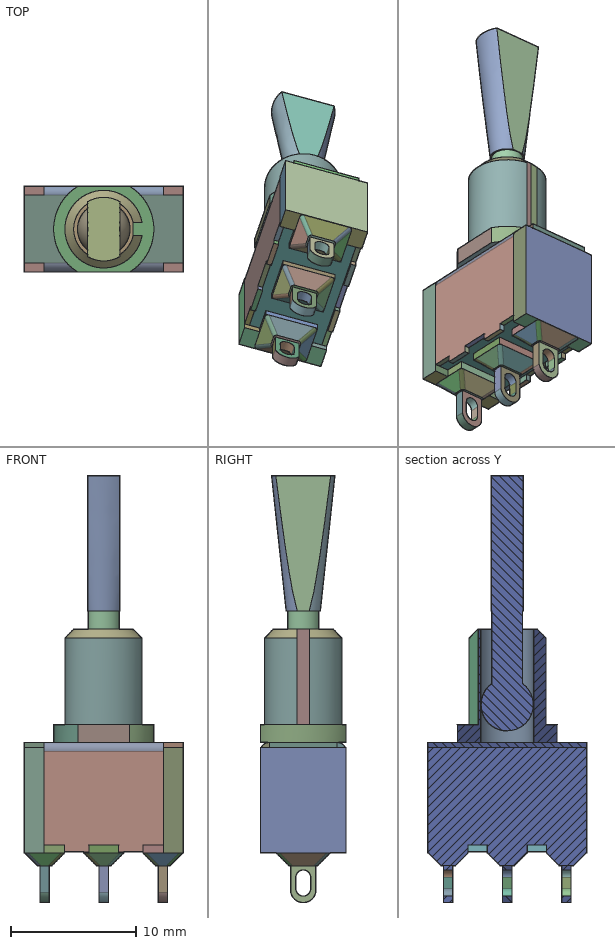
import cadquery as cq


LENGTH = 12.7
WIDTH = 6.86
SHEET = 0.41
BEND_RADIUS = 0.72
STRAP_LENGTH = 9.55
HOUSING_BOTTOM = -8.83
FRAME_BOTTOM = -8.75
NOTCH_TOP = -8.21
CENTRE_NOTCH = 2.36
END_NOTCH = 1.63

PITCH = 4.72
TERMINAL_XS = [-PITCH, 0, PITCH]
MOUND_X = 3.2
MOUND_Y = 4.33
MOUND_HEIGHT = 1.03
MOUND_TAPER = 45
MOUND_CORNER_RADIUS = 0.4
TERMINAL_THICKNESS = 0.76
TERMINAL_WIDTH = 2.0
TERMINAL_SHOULDER = -12.0
TERMINAL_TIP = -12.8
EYE_WIDTH = 1.17
EYE_LENGTH = 2.07
EYE_Z = -11.23

BUSHING_RADIUS = 6.2 / 2
BUSHING_TOP = 9.04
BUSHING_TOP_RADIUS = 2.4
CHAMFER_HEIGHT = 0.72
BORE_RADIUS = 4.2 / 2
COLLAR_RADIUS = 4.0
COLLAR_HEIGHT = 1.42
KEYWAY_WIDTH = 1.03
KEYWAY_FLOOR = 2.33

BALL_RADIUS = BORE_RADIUS
BALL_Z = 3.0
NECK_RADIUS = 1.25
PADDLE_BASE = 10.47
PADDLE_BASE_RADIUS = 1.37
PADDLE_TOP_RADIUS = 2.54
PADDLE_THICKNESS = 2.57
TOTAL_HEIGHT = 34.09
LEVER_TOP = TERMINAL_TIP + TOTAL_HEIGHT


def block(x_size, y_size, z_low, z_high, x=0):
    """Box centred on (x, 0) between two heights."""
    return cq.Workplane("XY", origin=(x, 0, z_low)).box(
        x_size, y_size, z_high - z_low, centered=(True, True, False))


def frame_profile(inset, bottom, length):
    """Round-shouldered block that follows the frame, inset from its outside."""
    radius = BEND_RADIUS - inset
    return block(length, WIDTH - 2 * inset, bottom, -inset).edges("|X and >Z").fillet(radius)


def make_housing():
    """Block that fills the frame, with full-width ends and a mound at each terminal."""
    core = frame_profile(SHEET, NOTCH_TOP, LENGTH)
    end_length = (LENGTH - STRAP_LENGTH) / 2
    for side in (-1, 1):
        x = side * (LENGTH - end_length) / 2
        core = core.union(block(end_length, WIDTH, HOUSING_BOTTOM, -SHEET, x))
    for x in TERMINAL_XS:
        core = core.union(block(MOUND_X, MOUND_Y, HOUSING_BOTTOM, NOTCH_TOP, x))
        mound = (cq.Workplane("XY", origin=(x, 0, HOUSING_BOTTOM))
                 .rect(MOUND_X, MOUND_Y)
                 .extrude(-MOUND_HEIGHT, taper=MOUND_TAPER)
                 .edges("not #Z")
                 .fillet(MOUND_CORNER_RADIUS))
        core = core.union(mound)
    return core


def make_frame():
    """Sheet bent over the housing: a full-length top plate and two side walls."""
    strap = frame_profile(0, FRAME_BOTTOM, STRAP_LENGTH).cut(
        frame_profile(SHEET, FRAME_BOTTOM, STRAP_LENGTH))
    plate = block(LENGTH, WIDTH - 2 * BEND_RADIUS, -SHEET, 0)
    frame = strap.union(plate)
    end_x = (STRAP_LENGTH - END_NOTCH) / 2
    for x, size in ((-end_x, END_NOTCH), (0, CENTRE_NOTCH), (end_x, END_NOTCH)):
        frame = frame.cut(block(size, WIDTH, FRAME_BOTTOM, NOTCH_TOP, x))
    return frame


def make_bushing():
    """Bored sleeve with a chamfered top, a collar with two flats and a keyway on +X."""
    sleeve = (cq.Workplane("XZ")
              .moveTo(BORE_RADIUS, 0)
              .lineTo(COLLAR_RADIUS, 0)
              .lineTo(COLLAR_RADIUS, COLLAR_HEIGHT)
              .lineTo(BUSHING_RADIUS, COLLAR_HEIGHT)
              .lineTo(BUSHING_RADIUS, BUSHING_TOP - CHAMFER_HEIGHT)
              .lineTo(BUSHING_TOP_RADIUS, BUSHING_TOP)
              .lineTo(BORE_RADIUS, BUSHING_TOP)
              .close()
              .revolve(360, (0, 0, 0), (0, 1, 0)))
    flats = block(2 * COLLAR_RADIUS, WIDTH, 0, BUSHING_TOP)
    keyway_depth = BUSHING_RADIUS - KEYWAY_FLOOR
    keyway_x = KEYWAY_FLOOR + keyway_depth / 2
    keyway = block(keyway_depth, KEYWAY_WIDTH, COLLAR_HEIGHT, BUSHING_TOP, keyway_x)
    return sleeve.intersect(flats).cut(keyway)


def make_lever():
    """Ball, round neck and a flaring cone flattened into a paddle."""
    ball = cq.Workplane("XY", origin=(0, 0, BALL_Z)).sphere(BALL_RADIUS)
    neck = cq.Workplane("XY", origin=(0, 0, BALL_Z)).circle(NECK_RADIUS).extrude(PADDLE_BASE - BALL_Z)
    cone = (cq.Workplane("XY", origin=(0, 0, PADDLE_BASE))
            .circle(PADDLE_BASE_RADIUS)
            .workplane(offset=LEVER_TOP - PADDLE_BASE)
            .circle(PADDLE_TOP_RADIUS)
            .loft())
    paddle = cone.intersect(block(PADDLE_THICKNESS, 2 * PADDLE_TOP_RADIUS, PADDLE_BASE, LEVER_TOP))
    return ball.union(neck).union(paddle)


def make_terminal(x):
    """Flat lug with a rounded tip and a slotted eye, starting at the mound tip."""
    half_width = TERMINAL_WIDTH / 2
    top = HOUSING_BOTTOM - MOUND_HEIGHT
    lug = (cq.Workplane("YZ", origin=(x, 0, 0))
           .moveTo(-half_width, top)
           .lineTo(-half_width, TERMINAL_SHOULDER)
           .threePointArc((0, TERMINAL_TIP), (half_width, TERMINAL_SHOULDER))
           .lineTo(half_width, top)
           .close()
           .extrude(TERMINAL_THICKNESS / 2, both=True))
    eye = (cq.Workplane("YZ", origin=(x, 0, 0))
           .center(0, EYE_Z)
           .slot2D(EYE_LENGTH, EYE_WIDTH, 90)
           .extrude(TERMINAL_THICKNESS / 2, both=True))
    return lug.cut(eye)


housing = make_housing()
frame = make_frame()
bushing = make_bushing()
lever = make_lever()
terminals = [make_terminal(x).val() for x in TERMINAL_XS]

bodies = [housing, frame, bushing, lever]
result = cq.Compound.makeCompound([*[body.solids().val() for body in bodies], *terminals])